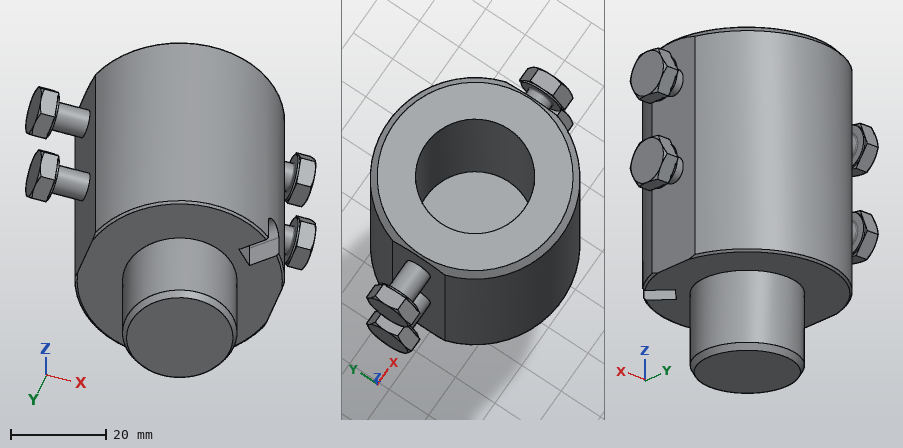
import cadquery as cq
import math

total_height = 70.0
spigot_length = 18.0

body_diameter = 44.0
flat_distance = 21.0
body_top_chamfer = 1.5
body_bottom_chamfer = 0.5
bore_diameter = 25.0

spigot_diameter = 24.0
spigot_chamfer_height = 1.5
spigot_chamfer_width = spigot_chamfer_height * math.tan(math.radians(30))

shank_diameter = 6.0
across_flats = 10.0
across_corners = across_flats / math.cos(math.radians(30))
head_height = 4.0
washer_thickness = 0.4
washer_diameter = across_flats
neck_fillet = 0.2
head_chamfer_angle = 30
bolts_per_side = 2
bolt_spacing = 20.0
upper_bolt_depth = bolt_spacing / 2
bolt_heights = [total_height - upper_bolt_depth - i * bolt_spacing for i in range(bolts_per_side)]
left_bolt_reach = 32.5
right_bolt_reach = 28.5
left_bolt_turn = 7.5
right_bolt_turn = -1.5

bore_depth = upper_bolt_depth + bolt_spacing + upper_bolt_depth

slot_width = 5.0
slot_height = 8.0
slot_depth = 7.0
slot_angle = -45


def make_body():
    body = (
        cq.Workplane("XY")
        .workplane(offset=spigot_length)
        .circle(body_diameter / 2)
        .extrude(total_height - spigot_length)
    )
    body = body.faces(">Z").chamfer(body_top_chamfer)
    body = body.faces("<Z").chamfer(body_bottom_chamfer)
    flats = cq.Workplane("XY").box(
        2 * flat_distance, body_diameter, total_height, centered=(True, True, False)
    )
    return body.intersect(flats)


def make_spigot():
    spigot = cq.Workplane("XY").circle(spigot_diameter / 2).extrude(spigot_length)
    return spigot.faces("<Z").chamfer(spigot_chamfer_height, spigot_chamfer_width)


def make_bolt(reach, turn):
    """Bolt along +X from the bore axis to the head's outer face; turn rotates the hexagon."""
    washer_start = reach - head_height
    hex_start = washer_start + washer_thickness
    shank = cq.Workplane("YZ").circle(shank_diameter / 2).extrude(washer_start)
    washer = (
        cq.Workplane("YZ")
        .workplane(offset=washer_start)
        .circle(washer_diameter / 2)
        .extrude(washer_thickness)
    )
    hexagon = (
        cq.Workplane("YZ")
        .workplane(offset=hex_start)
        .polygon(6, across_corners)
        .extrude(reach - hex_start)
        .rotate((0, 0, 0), (1, 0, 0), turn)
    )
    corner_radius = across_corners / 2
    face_radius = across_flats / 2
    corner_drop = (corner_radius - face_radius) * math.tan(math.radians(head_chamfer_angle))
    envelope = (
        cq.Workplane("XY")
        .moveTo(hex_start, 0)
        .lineTo(hex_start, corner_radius)
        .lineTo(reach - corner_drop, corner_radius)
        .lineTo(reach, face_radius)
        .lineTo(reach, 0)
        .close()
        .revolve(360, (0, 0, 0), (1, 0, 0))
    )
    shank_radius = shank_diameter / 2
    neck = (
        cq.Workplane("XY")
        .moveTo(washer_start - neck_fillet, 0)
        .lineTo(washer_start - neck_fillet, shank_radius)
        .radiusArc((washer_start, shank_radius + neck_fillet), -neck_fillet)
        .lineTo(washer_start, 0)
        .close()
        .revolve(360, (0, 0, 0), (1, 0, 0))
    )
    return shank.union(neck).union(washer).union(hexagon.intersect(envelope))


def make_slot():
    """Cutter for the slot, open at the lower rim and pointing outward at slot_angle."""
    half_width = slot_width / 2
    spring_height = slot_height - half_width
    floor_radius = body_diameter / 2 - slot_depth
    return (
        cq.Workplane("YZ")
        .workplane(offset=floor_radius)
        .moveTo(-half_width, 0)
        .lineTo(-half_width, spring_height)
        .threePointArc((0, slot_height), (half_width, spring_height))
        .lineTo(half_width, 0)
        .close()
        .extrude(body_diameter / 2)
        .translate((0, 0, spigot_length))
        .rotate((0, 0, 0), (0, 0, 1), slot_angle)
    )


left_bolt = make_bolt(left_bolt_reach, left_bolt_turn).rotate((0, 0, 0), (0, 0, 1), 180)
right_bolt = make_bolt(right_bolt_reach, right_bolt_turn)

result = make_body().cut(make_slot()).union(make_spigot())
for height in bolt_heights:
    for bolt in (left_bolt, right_bolt):
        result = result.union(bolt.translate((0, 0, height)))

bore = (
    cq.Workplane("XY")
    .workplane(offset=total_height - bore_depth)
    .circle(bore_diameter / 2)
    .extrude(bore_depth)
)
result = result.cut(bore)